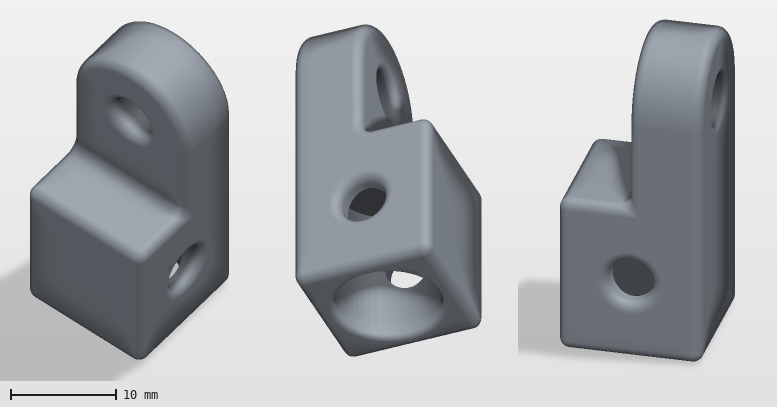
import cadquery as cq

width = 14.0
depth = 14.0
height = 32.0

tongue_thickness = depth / 2
base_height = 16.0
tongue_radius = width / 2
tongue_center_z = height - tongue_radius

hole_diameter = 4.5
base_hole_z = base_height / 2
edge_radius = 1.0

socket_diameter = 10.5
socket_depth = base_height - (width - socket_diameter) / 2
mouth_radius = 0.5


def make_body():
    """L-shaped block with a round-topped tongue along its +Y side, with sharp edges."""
    base = cq.Workplane("XY").box(width, depth, base_height, centered=(True, True, False))
    tongue = (
        cq.Workplane("XZ", origin=(0, depth / 2, 0))
        .moveTo(-width / 2, 0)
        .lineTo(width / 2, 0)
        .lineTo(width / 2, tongue_center_z)
        .threePointArc((0, height), (-width / 2, tongue_center_z))
        .close()
        .extrude(tongue_thickness)
    )
    return base.union(tongue).clean()


def drill_tongue(body):
    """Through hole along Y, concentric with the tongue's round top."""
    drill = (
        cq.Workplane("XZ", origin=(0, depth / 2, tongue_center_z))
        .circle(hole_diameter / 2)
        .extrude(depth)
    )
    return body.cut(drill)


def drill_base(body):
    """Through hole along X, centred in the base."""
    drill = (
        cq.Workplane("YZ", origin=(-width / 2, 0, base_hole_z))
        .circle(hole_diameter / 2)
        .extrude(width)
    )
    return body.cut(drill)


def keep_half(body, side):
    """The half of the body on one side of its X mid-plane: side is +1 or -1."""
    half = (
        cq.Workplane("XY")
        .box(width, 2 * depth, 2 * height)
        .translate((side * width / 2, 0, height / 2))
    )
    return body.intersect(half)


def round_edges(body):
    """Round all edges and the step's inner corner.

    On the -X half the inner rounding carries on around the side edge at full width.
    On the +X half the outer edges are rounded first, so the inner rounding,
    added afterwards, tapers to nothing at the side.
    """
    inner_corner = cq.selectors.BoxSelector(
        (-width, -edge_radius, base_height - edge_radius),
        (width, edge_radius, base_height + edge_radius),
    )
    left = body.edges().fillet(edge_radius)

    inner_edge = body.edges("|X").edges(inner_corner).val()
    unrounded = [inner_edge] + body.faces("<X").edges().vals()
    outer_edges = body.edges().filter(lambda edge: not any(edge.isSame(other) for other in unrounded))
    right = outer_edges.fillet(edge_radius)
    right = right.edges("|X").edges(inner_corner).fillet(edge_radius)

    return keep_half(left, -1).union(keep_half(right, 1)).clean()


def cut_socket(body):
    """Blind vertical bore from the bottom, with a rounded mouth, opening into the base hole."""
    socket = cq.Workplane("XY").circle(socket_diameter / 2).extrude(socket_depth)
    return body.cut(socket).faces("<Z").edges("%CIRCLE").fillet(mouth_radius)


rounded = round_edges(drill_base(drill_tongue(make_body())))
result = cut_socket(rounded)